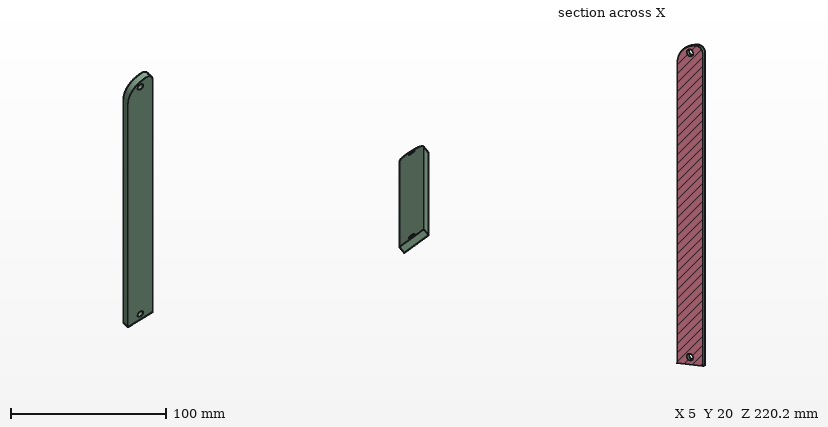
import cadquery as cq
import math

thickness = 5.0
width = 20.0
height = 220.2

bottom_rise = 1.8
top_slope = math.radians(16.5)
small_radius = 5.0
large_radius = 15.0

hole_diameter = 4.5
bottom_hole_z = 6.2
top_hole_z = height - 6.0

half_width = width / 2
small_center_z = height - small_radius
tangent_rise = small_radius * (1 / math.cos(top_slope) + math.tan(top_slope))
back_corner_z = small_center_z + tangent_rise
front_corner_z = back_corner_z - width * math.tan(top_slope)


def plate():
    """Strip with a slanted bottom and a sloping top, rounded at both top corners."""
    body = (
        cq.Workplane("YZ")
        .polyline([
            (-half_width, 0),
            (half_width, bottom_rise),
            (half_width, back_corner_z),
            (-half_width, front_corner_z),
        ])
        .close()
        .extrude(thickness / 2, both=True)
    )
    body = body.edges("|X").edges(">Z").fillet(small_radius)
    front_corner = cq.selectors.NearestToPointSelector((0, -half_width, front_corner_z))
    return body.edges("|X").edges(front_corner).fillet(large_radius)


def screw_holes():
    """Cylinders that pass through the whole thickness."""
    return (
        cq.Workplane("YZ")
        .pushPoints([(0, bottom_hole_z), (0, top_hole_z)])
        .circle(hole_diameter / 2)
        .extrude(thickness, both=True)
    )


result = plate().cut(screw_holes())